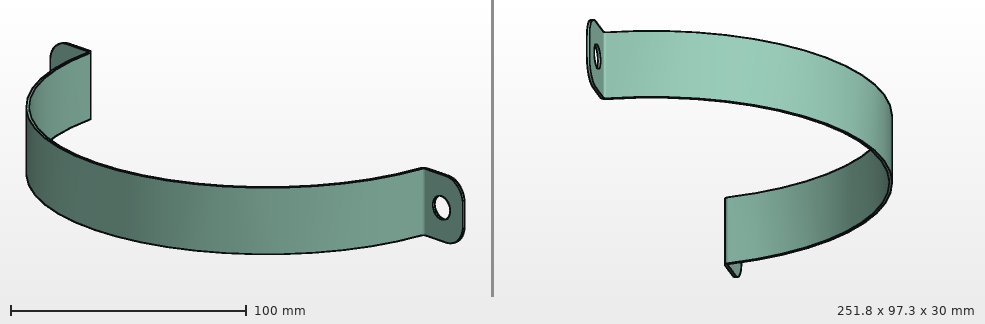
import cadquery as cq
import math

overall_length = 251.75
overall_depth = 97.25
strap_width = 30.0
thickness = 1.25

strap_inner_radius = 101.0
strap_radius = strap_inner_radius + thickness

bend_inner_radius = thickness
bend_outer_radius = bend_inner_radius + thickness

tab_corner_radius = 10.0
hole_diameter = 10.5
hole_edge_distance = 13.0

half_length = overall_length / 2
tab_back_y = overall_depth - strap_radius
tab_front_y = tab_back_y - thickness

bend_centre_y = tab_front_y - bend_inner_radius
bend_centre_distance = strap_radius + bend_inner_radius
bend_centre_x = math.sqrt(bend_centre_distance**2 - bend_centre_y**2)
strap_end_angle = math.atan2(bend_centre_y, bend_centre_x)
bend_middle_angle = (math.pi / 2 + math.pi + strap_end_angle) / 2


def strap_point(radius):
    """Point where the right-hand bend meets a strap circle of this radius."""
    return (radius * math.cos(strap_end_angle), radius * math.sin(strap_end_angle))


def bend_middle(radius):
    """Middle point of the right-hand bend arc of this radius."""
    return (
        bend_centre_x + radius * math.cos(bend_middle_angle),
        bend_centre_y + radius * math.sin(bend_middle_angle),
    )


def mirrored(point):
    """Same point on the left-hand side."""
    return (-point[0], point[1])


def make_strip():
    """Bent sheet strip: tab, bend, strap, bend, tab."""
    back_bend_start = (bend_centre_x, tab_back_y)
    front_bend_start = (bend_centre_x, tab_front_y)
    inner_end = strap_point(strap_inner_radius)
    outer_end = strap_point(strap_radius)
    back_bend_middle = bend_middle(bend_outer_radius)
    front_bend_middle = bend_middle(bend_inner_radius)
    return (
        cq.Workplane("XY")
        .moveTo(half_length, tab_back_y)
        .lineTo(*back_bend_start)
        .threePointArc(back_bend_middle, inner_end)
        .threePointArc((0, -strap_inner_radius), mirrored(inner_end))
        .threePointArc(mirrored(back_bend_middle), mirrored(back_bend_start))
        .lineTo(-half_length, tab_back_y)
        .lineTo(-half_length, tab_front_y)
        .lineTo(*mirrored(front_bend_start))
        .threePointArc(mirrored(front_bend_middle), mirrored(outer_end))
        .threePointArc((0, -strap_radius), outer_end)
        .threePointArc(front_bend_middle, front_bend_start)
        .lineTo(half_length, tab_front_y)
        .close()
        .extrude(strap_width / 2, both=True)
    )


def round_tab_corners(body):
    """Round the four outer corners of the tabs."""
    left_end_edges = body.faces("<X").edges("|Y")
    right_end_edges = body.faces(">X").edges("|Y")
    return body.newObject(left_end_edges.vals() + right_end_edges.vals()).fillet(tab_corner_radius)


def make_tab_holes():
    """Cylinders for the screw hole through each tab."""
    hole_x = half_length - hole_edge_distance
    return (
        cq.Workplane("XZ", origin=(0, tab_back_y, 0))
        .pushPoints([(-hole_x, 0), (hole_x, 0)])
        .circle(hole_diameter / 2)
        .extrude(thickness)
    )


result = round_tab_corners(make_strip()).cut(make_tab_holes())